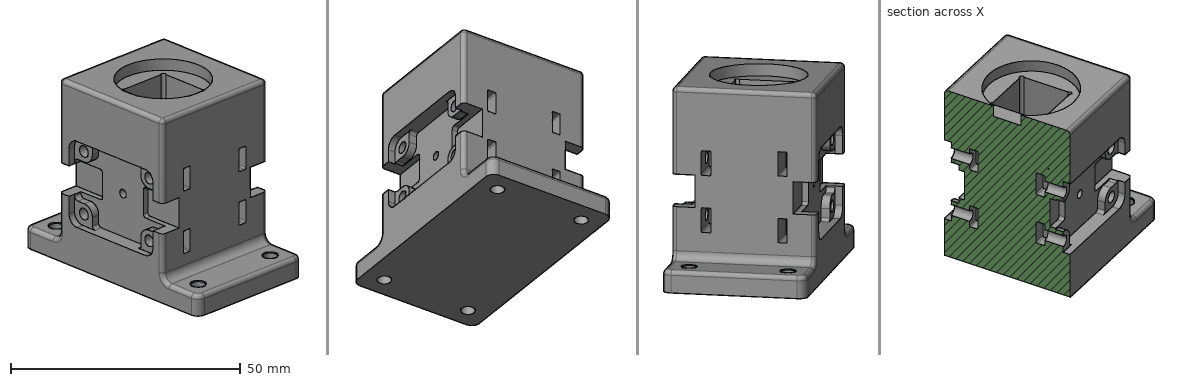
import cadquery as cq

flange_length = 54.0
block_width = 32.0
depth = 32.0
height = 43.5
flange_thickness = 5.0
root_radius = 2.0
flange_corner_radius = 2.0
edge_radius = 1.0
half_depth = depth / 2
half_width = block_width / 2

mount_spacing_x = 44.05
mount_spacing_y = 22.05
mount_diameter = 3.2
mount_chamfer = 0.2

recess_diameter = 21.5
recess_depth = 2.7
well_side = 12.65
well_floor = flange_thickness
well_relief_radius = 0.55

beam_height = 20.0
beam_diameter = 2.0

front_center_height = beam_height
rear_center_height = 20.45
pocket_width = 26.1
seat_depth = 1.75
pocket_depth = 3.65
pocket_corner_radius = 2.5
pocket_inner_radius = 0.75
pocket_side_radius = 1.0
seat_width = 5.5
seat_reach = 2.5
seat_margin = 2.8
screw_spacing_x = 20.3
front_screw_spacing_z = 14.9
rear_screw_spacing_z = 12.75
screw_diameter = 2.7

channel_half_gap = 6.35
channel_height = 7.25
channel_depth = 5.1

nut_slot_offset = 6.5
front_nut_thickness = 2.0
front_nut_width = 5.4
front_nut_corner_radius = 0.2
rear_nut_thickness = 2.15
rear_nut_width = 5.5
rear_nut_corner_radius = 0.3


def edge_zone(half_x, low_z, high_z):
    """Selector for edges centred within half_x of the middle and between two heights."""
    return cq.selectors.BoxSelector((-half_x, -depth, low_z), (half_x, depth, high_z))


def make_body():
    """Block on a flange, with root fillets and rounded outer edges."""
    block = cq.Workplane("XY").box(block_width, depth, height, centered=(True, True, False))
    flange = cq.Workplane("XY").box(
        flange_length, depth, flange_thickness, centered=(True, True, False)
    )
    flange = flange.edges("|Z").fillet(flange_corner_radius)
    body = block.union(flange)
    root_zone = edge_zone(half_width + 0.55, flange_thickness - 0.55, flange_thickness + 0.55)
    body = body.edges("|Y").edges(root_zone).fillet(root_radius)

    above_flange = edge_zone(flange_length, flange_thickness - 0.05, height + 0.55)
    root_lines = edge_zone(half_width + root_radius + 0.55, 0, flange_thickness + root_radius + 0.55)
    outer_edges = cq.selectors.SubtractSelector(
        above_flange,
        cq.selectors.AndSelector(cq.selectors.ParallelDirSelector(cq.Vector(0, 1, 0)), root_lines),
    )
    return body.edges(outer_edges).fillet(edge_radius)


def face_box(width, box_depth, box_height):
    """Box centred on X and Z that enters the block from Y = 0 toward +Y."""
    return cq.Workplane("XY").box(width, box_depth, box_height, centered=(True, False, True))


def make_pocket(screw_spacing_z):
    """Pocket tool with four raised corner screw seats and two side channels."""
    pocket_height = screw_spacing_z + 2 * seat_margin
    seats = face_box(pocket_width, seat_depth, pocket_height)
    seats = seats.edges("|Y").fillet(pocket_corner_radius)

    wide = face_box(pocket_width, pocket_depth, screw_spacing_z - 2 * seat_reach)
    tall = face_box(pocket_width - 2 * seat_width, pocket_depth, pocket_height)
    wide = wide.edges("|Y").fillet(pocket_side_radius)
    tall = tall.edges("|Y").fillet(pocket_inner_radius)
    cross = wide.union(tall)
    concave_x = pocket_width / 2 - seat_width + 0.05
    concave_z = screw_spacing_z / 2 - seat_reach + 0.05
    cross = cross.edges("|Y").edges(edge_zone(concave_x, -concave_z, concave_z))
    cross = cross.fillet(pocket_corner_radius)
    pocket = seats.union(cross)

    channel_length = half_width - channel_half_gap
    for side in (-1, 1):
        channel = face_box(channel_length, channel_depth, channel_height)
        inner_edges = "|Y and >X" if side < 0 else "|Y and <X"
        channel = channel.edges(inner_edges).fillet(pocket_inner_radius)
        pocket = pocket.union(channel.translate((side * (channel_half_gap + channel_length / 2), 0, 0)))
    return pocket


def make_fasteners(screw_spacing_z, nut_thickness, nut_width, corner_radius):
    """Four screw holes and the nut slots that cross them."""
    slot_end = screw_spacing_x / 2 - nut_width / 2
    slot_length = half_width - slot_end
    tools = (
        cq.Workplane("XZ")
        .rect(screw_spacing_x, screw_spacing_z, forConstruction=True)
        .vertices()
        .circle(screw_diameter / 2)
        .extrude(-(nut_slot_offset + nut_thickness))
    )
    slot = face_box(slot_length, nut_thickness, nut_width).edges("|X").fillet(corner_radius)
    for side in (-1, 1):
        for level in (-1, 1):
            center_x = side * (slot_end + slot_length / 2)
            center_z = level * screw_spacing_z / 2
            tools = tools.union(slot.translate((center_x, nut_slot_offset, center_z)))
    return tools


def make_well():
    """Round recess over a square well with relieved corners."""
    recess = cq.Workplane("XY").workplane(offset=height - recess_depth)
    recess = recess.circle(recess_diameter / 2).extrude(recess_depth)
    well_depth = height - well_floor
    floor_plane = cq.Workplane("XY").workplane(offset=well_floor)
    well = floor_plane.rect(well_side, well_side).extrude(well_depth)
    relief_spacing = well_side - well_relief_radius
    reliefs = (
        floor_plane.rect(relief_spacing, relief_spacing, forConstruction=True)
        .vertices()
        .circle(well_relief_radius)
        .extrude(well_depth)
    )
    return recess.union(well).union(reliefs)


def make_mount_holes():
    """Four through holes in the flange, chamfered at the top."""
    hole = cq.Workplane("XY").circle(mount_diameter / 2).extrude(flange_thickness)
    rim = (
        cq.Workplane("XY")
        .workplane(offset=flange_thickness - mount_chamfer)
        .circle(mount_diameter / 2)
        .workplane(offset=mount_chamfer)
        .circle(mount_diameter / 2 + mount_chamfer)
        .loft()
    )
    hole = hole.union(rim)
    centers = cq.Workplane("XY").rect(mount_spacing_x, mount_spacing_y, forConstruction=True).vertices()
    return centers.eachpoint(lambda place: hole.val().moved(place), combine=False)


beam = (
    cq.Workplane("XZ")
    .center(0, beam_height)
    .circle(beam_diameter / 2)
    .extrude(half_depth, both=True)
)
front_pocket = make_pocket(front_screw_spacing_z)
front_fasteners = make_fasteners(
    front_screw_spacing_z, front_nut_thickness, front_nut_width, front_nut_corner_radius
)
front_mount = front_pocket.union(front_fasteners).translate((0, -half_depth, front_center_height))

rear_pocket = make_pocket(rear_screw_spacing_z)
rear_fasteners = make_fasteners(
    rear_screw_spacing_z, rear_nut_thickness, rear_nut_width, rear_nut_corner_radius
)
rear_mount = rear_pocket.union(rear_fasteners).translate((0, -half_depth, rear_center_height))
rear_mount = rear_mount.rotate((0, 0, 0), (0, 0, 1), 180)

result = make_body()
for cutter in (make_well(), beam, front_mount, rear_mount, make_mount_holes()):
    result = result.cut(cutter)